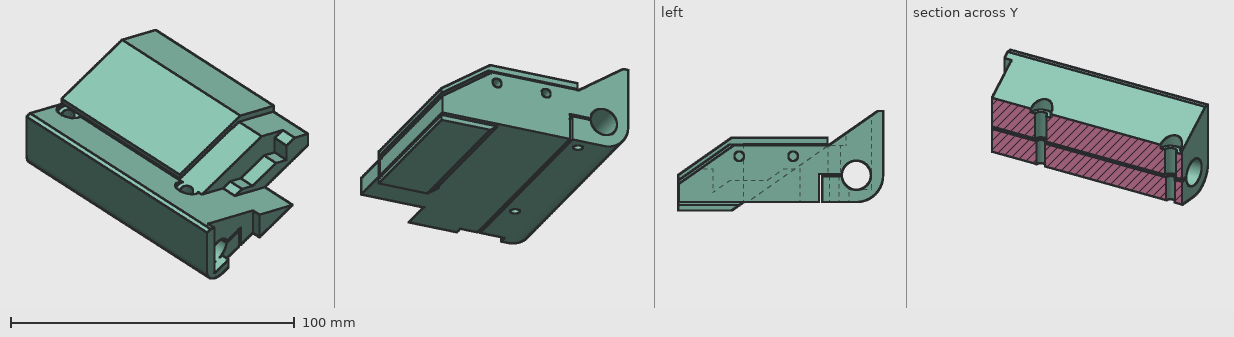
import cadquery as cq
import math


HOUSING_LENGTH = 82.0
MAIN_LENGTH = 69.4
MAIN_DEPTH = 72.0
TOP_Z = 20.0
LIP_TOP_Z = 32.15
LIP_WIDTH = 2.0
SLOPE = math.tan(math.radians(35))
RAMP_FOOT_Y = LIP_WIDTH + (LIP_TOP_Z - TOP_Z) / SLOPE
CREST_Y = 52.75
FRONT_RADIUS = 9.5

BORE_DIAMETER = 10.2
SLIT_Y = 21.6
SLIT_WIDTH = 1.0
SLIT_Z = 9.2
SLIT_HEIGHT = 0.7

POCKET_LEFT_X = 64.0
LEDGE_Z = 11.75
POCKET_BACK_Y = 60.0
POCKET_SHELF_Y = (41.0, 54.1)
POCKET_FRONT_Y = 35.1

NOTCH_LEFT_X = 79.0
NOTCH_FRONT_Y = 4.2
NOTCH_STEP_Y = 12.1
NOTCH_BACK_Y = 29.3
NOTCH_FLOOR_Z = 4.53

SCREW_X = (4.95, 58.75)
SCREW_Y = 17.25
SCREW_DIAMETER = 3.4
SCREW_BORE_DIAMETER = 4.5
SCREW_BORE_DEPTH = 10.0
SCREW_SEAT_DIAMETER = 8.1

PIN_HOLE_Y = (31.8, 50.8)
PIN_HOLE_Z = 16.2
PIN_HOLE_DIAMETER = 3.4
PIN_HOLE_DEPTH = 10.0

COVER_LENGTH = 53.7
COVER_BACK_Y = 72.3
COVER_FRONT_Y = 19.6
COVER_TOP_Z = 22.75
COVER_UNDER_Z = 20.4
COVER_CREST_Y = 53.5
COVER_UNDER_CREST_Y = 54.1
WEB_THICKNESS = 0.5
LOWER_PLATE_TOP_Z = -1.0
LOWER_PLATE_BOTTOM_Z = -3.0
LOWER_FRONT_Y = 49.2


def prism(points, x_start, x_end):
    """Extrudes a (Y, Z) outline along X."""
    return cq.Workplane("YZ", origin=(x_start, 0, 0)).polyline(points).close().extrude(x_end - x_start)


def block(x_limits, y_limits, z_limits):
    """Box between the limits given for each axis."""
    limits = (x_limits, y_limits, z_limits)
    sizes = [high - low for low, high in limits]
    corner = tuple(low for low, high in limits)
    return cq.Workplane("XY").box(*sizes, centered=False).translate(corner)


def rod_x(y, z, diameter, length):
    """Cylinder along X from the left end."""
    return cq.Workplane("YZ", origin=(0, y, z)).circle(diameter / 2).extrude(length)


def rod_z(x, y, z_start, diameter, z_end):
    """Upright cylinder between two heights."""
    return cq.Workplane("XY", origin=(x, y, z_start)).circle(diameter / 2).extrude(z_end - z_start)


def section(back_points, x_start, x_end):
    """Slice of the housing: the shared front outline closed by its own top and back points."""
    arc_middle = FRONT_RADIUS * (1 - math.sqrt(0.5))
    outline = (
        cq.Workplane("YZ", origin=(x_start, 0, 0))
        .moveTo(LIP_WIDTH, LIP_TOP_Z)
        .lineTo(0, LIP_TOP_Z)
        .lineTo(0, FRONT_RADIUS)
        .threePointArc((arc_middle, arc_middle), (FRONT_RADIUS, 0))
    )
    for y, z in back_points:
        outline = outline.lineTo(y, z)
    return outline.close().extrude(x_end - x_start)


def housing_body():
    """Left, pocketed and toe slices joined end to end."""
    back_bottom = (MAIN_DEPTH, 0)
    back_top = (MAIN_DEPTH, TOP_Z - (MAIN_DEPTH - CREST_Y) * SLOPE)

    body = section([back_bottom, back_top, (CREST_Y, TOP_Z), (RAMP_FOOT_Y, TOP_Z)], 0, POCKET_LEFT_X)

    shelf_front_y, shelf_back_y = POCKET_SHELF_Y
    shelf_z = LEDGE_Z - (shelf_front_y - POCKET_FRONT_Y) * SLOPE
    pocket_bottom_z = shelf_z - (POCKET_BACK_Y - shelf_back_y) * SLOPE
    stepped = section(
        [
            back_bottom,
            back_top,
            (CREST_Y + (TOP_Z - LEDGE_Z) / SLOPE, LEDGE_Z),
            (POCKET_BACK_Y, LEDGE_Z),
            (POCKET_BACK_Y, pocket_bottom_z),
            (shelf_back_y, shelf_z),
            (shelf_front_y, shelf_z),
            (POCKET_FRONT_Y, LEDGE_Z),
            (RAMP_FOOT_Y + (TOP_Z - LEDGE_Z) / SLOPE, LEDGE_Z),
        ],
        POCKET_LEFT_X,
        MAIN_LENGTH,
    )
    toe = section([(RAMP_FOOT_Y + TOP_Z / SLOPE, 0)], MAIN_LENGTH, HOUSING_LENGTH)
    return body.union(stepped).union(toe)


def cut_clamp(body):
    """Shaft bore, and the L-shaped slit that frees the jaw below it."""
    slit_back_y = SLIT_Y + SLIT_WIDTH
    slit_top_z = SLIT_Z + SLIT_HEIGHT
    full_length = (0, HOUSING_LENGTH)
    bore = rod_x(FRONT_RADIUS, FRONT_RADIUS, BORE_DIAMETER, HOUSING_LENGTH)
    slit_across = block(full_length, (FRONT_RADIUS, slit_back_y), (SLIT_Z, slit_top_z))
    slit_down = block(full_length, (SLIT_Y, slit_back_y), (0, slit_top_z))
    return body.cut(bore).cut(slit_across).cut(slit_down)


def cut_notch(body):
    """Notch in the right end: a shallow front part with a floor, and a back part cut right through."""
    x_limits = (NOTCH_LEFT_X, HOUSING_LENGTH)
    with_floor = block(x_limits, (NOTCH_FRONT_Y, NOTCH_BACK_Y), (NOTCH_FLOOR_Z, LIP_TOP_Z))
    through = block(x_limits, (NOTCH_STEP_Y, NOTCH_BACK_Y), (0, LIP_TOP_Z))
    return body.cut(with_floor).cut(through)


def cut_screw_holes(body):
    """Stepped vertical holes, their head seats level with the flat top."""
    for x in SCREW_X:
        body = body.cut(rod_z(x, SCREW_Y, TOP_Z, SCREW_SEAT_DIAMETER, LIP_TOP_Z))
        body = body.cut(rod_z(x, SCREW_Y, TOP_Z - SCREW_BORE_DEPTH, SCREW_BORE_DIAMETER, TOP_Z))
        body = body.cut(rod_z(x, SCREW_Y, 0, SCREW_DIAMETER, TOP_Z))
    return body


def cut_pin_holes(body):
    for y in PIN_HOLE_Y:
        body = body.cut(rod_x(y, PIN_HOLE_Z, PIN_HOLE_DIAMETER, PIN_HOLE_DEPTH))
    return body


def make_housing(cover):
    body = housing_body()
    body = cut_clamp(body)
    body = cut_notch(body)
    body = cut_screw_holes(body)
    body = cut_pin_holes(body)
    return body.cut(cover)


def lower_front(z):
    """Y of the sloped front of the web and lower plate at a given height."""
    return LOWER_FRONT_Y - z / SLOPE


def make_cover():
    """Bent upper plate and flat lower plate, joined by a thin upright web at the right end."""
    under_crest = (COVER_UNDER_CREST_Y, COVER_UNDER_Z)
    under_back = (COVER_BACK_Y, COVER_UNDER_Z - (COVER_BACK_Y - COVER_UNDER_CREST_Y) * SLOPE)
    lower_top_front = (lower_front(LOWER_PLATE_TOP_Z), LOWER_PLATE_TOP_Z)
    lower_top_back = (COVER_BACK_Y, LOWER_PLATE_TOP_Z)

    upper = prism(
        [
            (COVER_FRONT_Y, COVER_TOP_Z),
            (COVER_CREST_Y, COVER_TOP_Z),
            (COVER_BACK_Y, COVER_TOP_Z - (COVER_BACK_Y - COVER_CREST_Y) * SLOPE),
            under_back,
            under_crest,
            (COVER_FRONT_Y, COVER_UNDER_Z),
        ],
        0,
        COVER_LENGTH,
    )
    lower = prism(
        [
            lower_top_front,
            (lower_front(LOWER_PLATE_BOTTOM_Z), LOWER_PLATE_BOTTOM_Z),
            (COVER_BACK_Y, LOWER_PLATE_BOTTOM_Z),
            lower_top_back,
        ],
        0,
        COVER_LENGTH,
    )
    web = prism(
        [
            lower_top_front,
            (LOWER_FRONT_Y, 0),
            (LOWER_FRONT_Y, COVER_UNDER_Z),
            under_crest,
            under_back,
            lower_top_back,
        ],
        COVER_LENGTH - WEB_THICKNESS,
        COVER_LENGTH,
    )
    return upper.union(web).union(lower)


cover = make_cover()
housing = make_housing(cover)
result = cq.Compound.makeCompound([housing.val(), cover.val()])